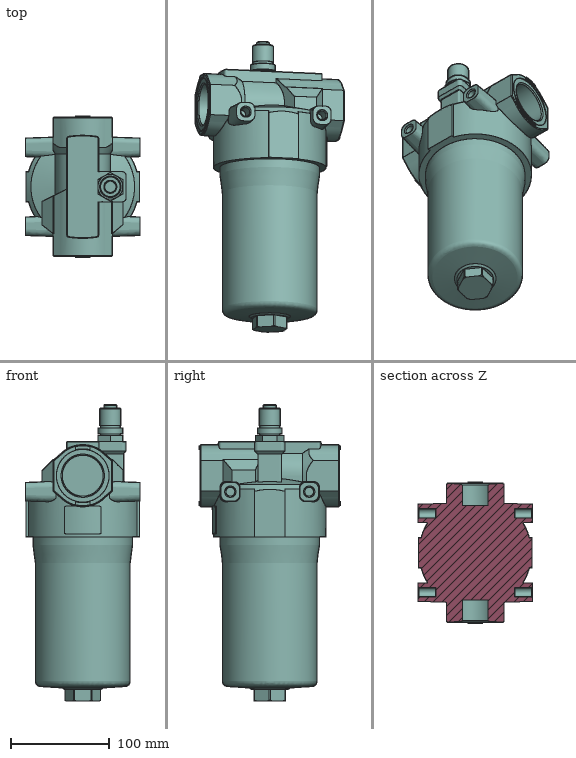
import cadquery as cq
import math

TOTAL_HEIGHT = 299.8
HEAD_BOTTOM = 166.0
SHOULDER_Z = 219.2
PORT_AXIS_Z = 227.8
PLATE_TOP = 262.3

BOWL_RADIUS = 48.0
NECK_RADIUS = 50.5
NECK_BOTTOM = 157.5
TAPER_BOTTOM = 139.0
BOWL_BASE_Z = 15.0
BOWL_BASE_FILLET = 5.5
BASE_TIP_RADIUS = 21.0
BASE_TIP_Z = 13.2
NUT_COLLAR_RADIUS = 18.5
NUT_COLLAR_Z = 11.7
DRAIN_NUT_FLATS = 31.8
DRAIN_NUT_RADIUS = 18.0
DRAIN_NUT_CHAMFER = 1.0

HEAD_RADIUS = 57.0
HEAD_TOP_RADIUS = 52.5
HEAD_EDGE_DROP = 5.0
HEAD_CONE_ANGLE = 14.4
HEAD_CONE_INNER_RADIUS = 24.0
SIDE_PAD_X = 57.5
SIDE_PAD_WIDTH = 30.5
LABEL_RADIUS = 58.2
LABEL_WIDTH = 37.2
LABEL_BOTTOM = 169.0
LABEL_TOP = 197.0
LABEL_CORNER = 1.5

PORT_END_Y = 70.5
PORT_RADIUS = 31.5
PORT_HALF_WIDTH = 30.0
PORT_FLAT_HALF_HEIGHT = 15.5
PORT_SHOULDER_X = 22.8
PORT_END_CHAMFER = 1.0
BORE_RADIUS = 20.7
BORE_DEPTH = 22.5
BORE_CHAMFER = 1.2
SEAL_RING_RADIUS = 26.7
SEAL_RECESS_DEPTH = 0.5
END_PAD_WIDTH = 14.5
END_PAD_HEIGHT = 1.05
END_PAD_OUTER_RADIUS = 30.3
END_PAD_INNER_RADIUS = 27.3

WAIST_RADIUS = 28.0
WAIST_REAR_Y = 33.0
SHOULDER_CORNER_Y = 44.0
STEP_CENTRE_Y = 5.7
STEP_SLOPE = 0.5

LEFT_BLOCK_X = 41.5
RIGHT_BLOCK_X = 40.5
BLOCK_TOP_Z = 244.3
BLOCK_FRONT_Y = -38.5
BLOCK_NOSE_Y = -47.5
BLOCK_BASE_Z = 198.0

PLATE_HALF_WIDTH = 16.2
PLATE_END_Y = 52.2
PLATE_CORNER_Y = 50.7
PLATE_CORNER_RADIUS = 2.5
PLATE_EDGE = 0.5

INDICATOR_X = 28.0
SEAT_HALF_WIDTH = 15.3
SEAT_OUTER_X = 43.8
SEAT_BOTTOM = 249.7
SEAT_CHAMFER = 3.0
SEAT_CORNER = 4.0
POST_OUTER_X = 41.7
POST_WIDTH = 24.0
POST_CORNER = 1.8
INDICATOR_NUT_FLATS = 25.2
INDICATOR_NUT_TOP = 268.5
COLLAR_BOTTOM = 270.0
COLLAR_TOP = 276.0
CAP_BOTTOM = 278.8
CAP_TOP = 296.2
NECKING_RADIUS = 10.2
COLLAR_RADIUS = 12.5
CAP_RADIUS = 10.8
CAP_CHAMFER = 1.0
BUTTON_RADIUS = 6.5
BUTTON_CHAMFER = 1.0

LUG_SPAN = 116.0
LUG_END_X = LUG_SPAN / 2
LUG_ROOT_X = 27.0
LUG_Y = 40.0
LUG_Z = 211.7
LUG_END_SIZE = 19.0
LUG_ROOT_SIZE = 21.0
LUG_CORNER_RADIUS = 6.0
LUG_HOLE_RADIUS = 4.5
LUG_HOLE_DEPTH = 18.0
LUG_HOLE_CHAMFER = 1.2


def box(x_range, y_range, z_range):
    """Axis-aligned box between the given limits."""
    sizes = [end - start for start, end in (x_range, y_range, z_range)]
    corner = (x_range[0], y_range[0], z_range[0])
    return cq.Workplane("XY").box(*sizes, centered=False).translate(corner)


def cylinder(radius, bottom, top):
    """Vertical cylinder on the filter axis."""
    return cq.Workplane("XY", origin=(0, 0, bottom)).circle(radius).extrude(top - bottom)


def hexagon(flats, bottom, top):
    """Vertical hexagonal prism with two corners on its local X axis."""
    across_corners = flats / math.cos(math.pi / 6)
    return cq.Workplane("XY", origin=(0, 0, bottom)).polygon(6, across_corners).extrude(top - bottom)


def make_bowl():
    profile = [
        (0, HEAD_BOTTOM),
        (NECK_RADIUS, HEAD_BOTTOM),
        (NECK_RADIUS, NECK_BOTTOM),
        (BOWL_RADIUS, TAPER_BOTTOM),
        (BOWL_RADIUS, BOWL_BASE_Z),
        (BASE_TIP_RADIUS, BASE_TIP_Z),
        (NUT_COLLAR_RADIUS, NUT_COLLAR_Z),
        (0, NUT_COLLAR_Z),
    ]
    bowl = cq.Workplane("XZ").polyline(profile).close().revolve(360, (0, 0), (0, 1))
    above_tip = (BASE_TIP_Z + BOWL_BASE_Z) / 2
    below_taper = (BOWL_BASE_Z + TAPER_BOTTOM) / 2
    base_rim = cq.selectors.BoxSelector(
        (-BOWL_RADIUS, -BOWL_RADIUS, above_tip),
        (BOWL_RADIUS, BOWL_RADIUS, below_taper),
    )
    bowl = bowl.edges("%CIRCLE").edges(base_rim).fillet(BOWL_BASE_FILLET)
    corner_trim = cylinder(DRAIN_NUT_RADIUS, 0, BASE_TIP_Z).faces("<Z").chamfer(DRAIN_NUT_CHAMFER)
    return bowl.union(hexagon(DRAIN_NUT_FLATS, 0, BASE_TIP_Z).intersect(corner_trim))


def make_head():
    half_pad = SIDE_PAD_WIDTH / 2
    blank = cylinder(HEAD_RADIUS, HEAD_BOTTOM, PORT_AXIS_Z)
    blank = blank.union(box((-SIDE_PAD_X, SIDE_PAD_X), (-half_pad, half_pad), (HEAD_BOTTOM, PORT_AXIS_Z)))

    outer_radius = math.hypot(SIDE_PAD_X, half_pad)
    bevel_slope = HEAD_EDGE_DROP / (SIDE_PAD_X - HEAD_TOP_RADIUS)
    outer_z = SHOULDER_Z - bevel_slope * (outer_radius - HEAD_TOP_RADIUS)
    roof_rise = (HEAD_TOP_RADIUS - HEAD_CONE_INNER_RADIUS) * math.tan(math.radians(HEAD_CONE_ANGLE))
    envelope_profile = [
        (0, HEAD_BOTTOM),
        (outer_radius, HEAD_BOTTOM),
        (outer_radius, outer_z),
        (HEAD_TOP_RADIUS, SHOULDER_Z),
        (HEAD_CONE_INNER_RADIUS, SHOULDER_Z + roof_rise),
        (0, SHOULDER_Z + roof_rise),
    ]
    envelope = cq.Workplane("XZ").polyline(envelope_profile).close().revolve(360, (0, 0), (0, 1))

    label = box((-LABEL_WIDTH / 2, LABEL_WIDTH / 2), (-LABEL_RADIUS, 0), (LABEL_BOTTOM, LABEL_TOP))
    label = label.edges("|Y").fillet(LABEL_CORNER)
    label = label.intersect(cylinder(LABEL_RADIUS, LABEL_BOTTOM, LABEL_TOP))
    return blank.intersect(envelope).union(label)


def port_section(y_front, length):
    """Round port section with straight shoulders running to its two vertical flats."""
    x = PORT_SHOULDER_X
    z = math.sqrt(PORT_RADIUS**2 - x**2)
    return (
        cq.Workplane("XZ", origin=(0, y_front, PORT_AXIS_Z))
        .moveTo(x, z)
        .threePointArc((0, PORT_RADIUS), (-x, z))
        .lineTo(-PORT_HALF_WIDTH, PORT_FLAT_HALF_HEIGHT)
        .lineTo(-PORT_HALF_WIDTH, -PORT_FLAT_HALF_HEIGHT)
        .lineTo(-x, -z)
        .threePointArc((0, -PORT_RADIUS), (x, -z))
        .lineTo(PORT_HALF_WIDTH, -PORT_FLAT_HALF_HEIGHT)
        .lineTo(PORT_HALF_WIDTH, PORT_FLAT_HALF_HEIGHT)
        .close()
        .extrude(-length)
    )


def make_front_passage():
    blocks_profile = [
        (-LEFT_BLOCK_X, BLOCK_BASE_Z),
        (-LEFT_BLOCK_X, BLOCK_TOP_Z - (LEFT_BLOCK_X - PORT_HALF_WIDTH)),
        (-PORT_HALF_WIDTH, BLOCK_TOP_Z),
        (PORT_HALF_WIDTH, BLOCK_TOP_Z),
        (RIGHT_BLOCK_X, BLOCK_TOP_Z - (RIGHT_BLOCK_X - PORT_HALF_WIDTH)),
        (RIGHT_BLOCK_X, BLOCK_BASE_Z),
    ]
    blocks = cq.Workplane("XZ").polyline(blocks_profile).close().extrude(-BLOCK_NOSE_Y)
    blocks_plan = [
        (-PORT_HALF_WIDTH, 0),
        (-LEFT_BLOCK_X, 0),
        (-LEFT_BLOCK_X, BLOCK_FRONT_Y),
        (-PORT_HALF_WIDTH, BLOCK_NOSE_Y),
        (PORT_HALF_WIDTH, BLOCK_NOSE_Y),
        (RIGHT_BLOCK_X, BLOCK_FRONT_Y),
        (RIGHT_BLOCK_X, 0),
    ]
    blocks_outline = cq.Workplane("XY").polyline(blocks_plan).close().extrude(PLATE_TOP)
    passage = port_section(-PORT_END_Y, PORT_END_Y + STEP_CENTRE_Y)
    passage = passage.faces("<Y").chamfer(PORT_END_CHAMFER)
    passage = passage.union(blocks.intersect(blocks_outline))

    wall_y = STEP_CENTRE_Y - STEP_SLOPE * HEAD_RADIUS
    keep_plan = [
        (0, STEP_CENTRE_Y),
        (-HEAD_RADIUS, wall_y),
        (-HEAD_RADIUS, -PORT_END_Y),
        (HEAD_RADIUS, -PORT_END_Y),
        (HEAD_RADIUS, wall_y),
    ]
    return passage.intersect(cq.Workplane("XY").polyline(keep_plan).close().extrude(PLATE_TOP))


def make_rear_passage():
    corner_radius = math.hypot(PORT_HALF_WIDTH, PORT_FLAT_HALF_HEIGHT)
    half_plan = [
        (0, STEP_CENTRE_Y - STEP_SLOPE * HEAD_RADIUS),
        (WAIST_RADIUS, STEP_CENTRE_Y - STEP_SLOPE * HEAD_RADIUS),
        (WAIST_RADIUS, WAIST_REAR_Y),
        (corner_radius, SHOULDER_CORNER_Y),
        (corner_radius, PORT_END_Y),
        (0, PORT_END_Y),
    ]
    round_envelope = (
        cq.Workplane("XY").polyline(half_plan).close()
        .revolve(360, (0, 0), (0, 1))
        .translate((0, 0, PORT_AXIS_Z))
    )
    lower_half = cq.Workplane("XY").polyline(half_plan).close().extrude(PORT_AXIS_Z)
    lower_envelope = lower_half.union(lower_half.mirror("YZ"))
    start_y = half_plan[0][1]
    passage = port_section(start_y, PORT_END_Y - start_y)
    passage = passage.faces(">Y").chamfer(PORT_END_CHAMFER)
    return passage.intersect(round_envelope.union(lower_envelope))


def make_waist_skirt():
    return box((-WAIST_RADIUS, WAIST_RADIUS), (-WAIST_REAR_Y, WAIST_REAR_Y), (BLOCK_BASE_Z, PORT_AXIS_Z))


def make_end_pads():
    """Small raised pads above and below each port opening."""
    half_width = END_PAD_WIDTH / 2
    reach = PORT_END_Y + END_PAD_HEIGHT
    strip = box((-half_width, half_width), (-reach, reach), (0, TOTAL_HEIGHT))
    ring = (
        cq.Workplane("XZ", origin=(0, reach, PORT_AXIS_Z))
        .circle(END_PAD_OUTER_RADIUS)
        .circle(END_PAD_INNER_RADIUS)
        .extrude(2 * reach)
    )
    return ring.intersect(strip)


def make_port_bore():
    """Opening of the port on the -Y end: shallow seal recess, lead-in chamfer and blind bore."""
    profile = [
        (0, -PORT_END_Y),
        (SEAL_RING_RADIUS, -PORT_END_Y),
        (SEAL_RING_RADIUS, -PORT_END_Y + SEAL_RECESS_DEPTH),
        (BORE_RADIUS + BORE_CHAMFER, -PORT_END_Y + SEAL_RECESS_DEPTH),
        (BORE_RADIUS, -PORT_END_Y + SEAL_RECESS_DEPTH + BORE_CHAMFER),
        (BORE_RADIUS, -PORT_END_Y + BORE_DEPTH),
        (0, -PORT_END_Y + BORE_DEPTH),
    ]
    bore = cq.Workplane("XY").polyline(profile).close().revolve(360, (0, 0), (0, 1))
    return bore.translate((0, 0, PORT_AXIS_Z))


def make_plate():
    plate = (
        cq.Workplane("XY", origin=(0, 0, PORT_AXIS_Z))
        .moveTo(PLATE_HALF_WIDTH, -PLATE_CORNER_Y)
        .lineTo(PLATE_HALF_WIDTH, PLATE_CORNER_Y)
        .threePointArc((0, PLATE_END_Y), (-PLATE_HALF_WIDTH, PLATE_CORNER_Y))
        .lineTo(-PLATE_HALF_WIDTH, -PLATE_CORNER_Y)
        .threePointArc((0, -PLATE_END_Y), (PLATE_HALF_WIDTH, -PLATE_CORNER_Y))
        .close()
        .extrude(PLATE_TOP - PORT_AXIS_Z)
    )
    return plate.edges("|Z").fillet(PLATE_CORNER_RADIUS).faces(">Z").chamfer(PLATE_EDGE)


def make_indicator_seat():
    seat = box((0, SEAT_OUTER_X), (-SEAT_HALF_WIDTH, SEAT_HALF_WIDTH), (SEAT_BOTTOM, PLATE_TOP))
    seat = seat.edges("|Z and >X").fillet(SEAT_CORNER)
    seat = seat.faces("<Z").edges("not(<X)").chamfer(SEAT_CHAMFER)
    post = box((0, POST_OUTER_X), (-POST_WIDTH / 2, POST_WIDTH / 2), (BLOCK_BASE_Z, SEAT_BOTTOM))
    post = post.edges("|Z and >X").fillet(POST_CORNER)
    return seat.union(post)


def make_indicator():
    nut = hexagon(INDICATOR_NUT_FLATS, PLATE_TOP, INDICATOR_NUT_TOP)
    nut = nut.rotate((0, 0, 0), (0, 0, 1), 90)
    stem = cylinder(NECKING_RADIUS, PLATE_TOP, CAP_BOTTOM)
    collar = cylinder(COLLAR_RADIUS, COLLAR_BOTTOM, COLLAR_TOP)
    cap = cylinder(CAP_RADIUS, CAP_BOTTOM, CAP_TOP).faces(">Z").chamfer(CAP_CHAMFER)
    button = cylinder(BUTTON_RADIUS, CAP_TOP, TOTAL_HEIGHT).faces(">Z").chamfer(BUTTON_CHAMFER)
    indicator = nut.union(stem).union(collar).union(cap).union(button)
    return indicator.translate((INDICATOR_X, 0, 0))


def rounded_square(size):
    return cq.Sketch().rect(size, size).vertices().fillet(LUG_CORNER_RADIUS)


def make_lug():
    """Tapered lug of rounded square section on the +X, +Y corner."""
    end_offset = cq.Location(cq.Vector(0, 0, LUG_END_X - LUG_ROOT_X))
    return (
        cq.Workplane("YZ", origin=(LUG_ROOT_X, LUG_Y, LUG_Z))
        .placeSketch(rounded_square(LUG_ROOT_SIZE), rounded_square(LUG_END_SIZE).moved(end_offset))
        .loft()
    )


def make_lug_hole():
    bottom_x = LUG_END_X - LUG_HOLE_DEPTH
    profile = [
        (LUG_END_X, 0),
        (LUG_END_X, LUG_HOLE_RADIUS + LUG_HOLE_CHAMFER),
        (LUG_END_X - LUG_HOLE_CHAMFER, LUG_HOLE_RADIUS),
        (bottom_x, LUG_HOLE_RADIUS),
        (bottom_x, 0),
    ]
    hole = cq.Workplane("XY").polyline(profile).close().revolve(360, (0, 0), (1, 0))
    return hole.translate((0, LUG_Y, LUG_Z))


def at_four_corners(body):
    """The body together with its mirror images about the XZ and YZ planes."""
    pair = [body, body.mirror("XZ")]
    return pair + [item.mirror("YZ") for item in pair]


additions = [
    make_head(),
    make_front_passage(),
    make_rear_passage(),
    make_waist_skirt(),
    make_end_pads(),
    make_plate(),
    make_indicator_seat(),
    make_indicator(),
]
result = make_bowl()
for feature in additions + at_four_corners(make_lug()):
    result = result.union(feature)

bore = make_port_bore()
for opening in [bore, bore.mirror("XZ")] + at_four_corners(make_lug_hole()):
    result = result.cut(opening)